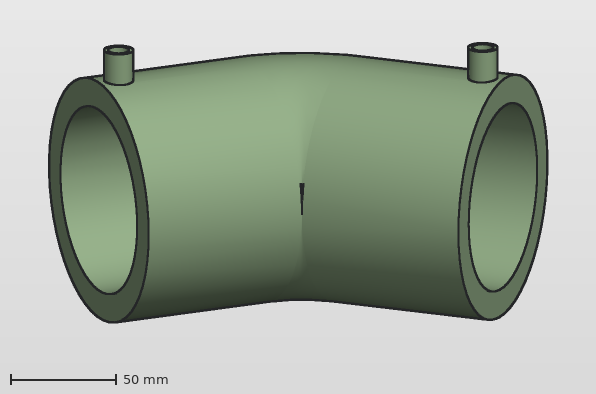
import cadquery as cq
import math

outer_diameter = 117.0
bore_diameter = 90.0
overall_length = 218.4
bend_angle = 45
bend_radius = outer_diameter / 2

terminal_diameter = 14.0
terminal_hole_diameter = 10.0
terminal_height = 14.8
terminal_setback = 10.3

outer_radius = outer_diameter / 2
turn = math.radians(bend_angle)
socket_length = (overall_length - outer_diameter * math.sin(turn)) / (1 + math.cos(turn))
terminal_top = outer_radius + terminal_height

bend_start = (0, socket_length)
bend_middle = (
    bend_radius * (1 - math.cos(turn / 2)),
    socket_length + bend_radius * math.sin(turn / 2),
)
bend_end = (
    bend_radius * (1 - math.cos(turn)),
    socket_length + bend_radius * math.sin(turn),
)


def point_on_second_socket(distance):
    """Point on the second socket's axis, at a distance from the bend."""
    return (bend_end[0] + distance * math.sin(turn), bend_end[1] + distance * math.cos(turn))


def swept_round(diameter):
    """Solid of round section following the elbow's centre line."""
    path = (
        cq.Workplane("XY")
        .lineTo(*bend_start)
        .threePointArc(bend_middle, bend_end)
        .lineTo(*point_on_second_socket(socket_length))
    )
    return cq.Workplane("XZ").circle(diameter / 2).sweep(path)


def terminal_post(center):
    """Upright post rooted inside the pipe wall."""
    root = (outer_radius + bore_diameter / 2) / 2
    return (
        cq.Workplane("XY", origin=(*center, root))
        .circle(terminal_diameter / 2)
        .extrude(terminal_top - root)
    )


def terminal_hole(center):
    """Blind hole from the post's top down to the crown of the pipe."""
    return (
        cq.Workplane("XY", origin=(*center, outer_radius))
        .circle(terminal_hole_diameter / 2)
        .extrude(terminal_height)
    )


terminal_centers = [
    (0, terminal_setback),
    point_on_second_socket(socket_length - terminal_setback),
]

result = swept_round(outer_diameter).cut(swept_round(bore_diameter))
for center in terminal_centers:
    result = result.union(terminal_post(center)).cut(terminal_hole(center))